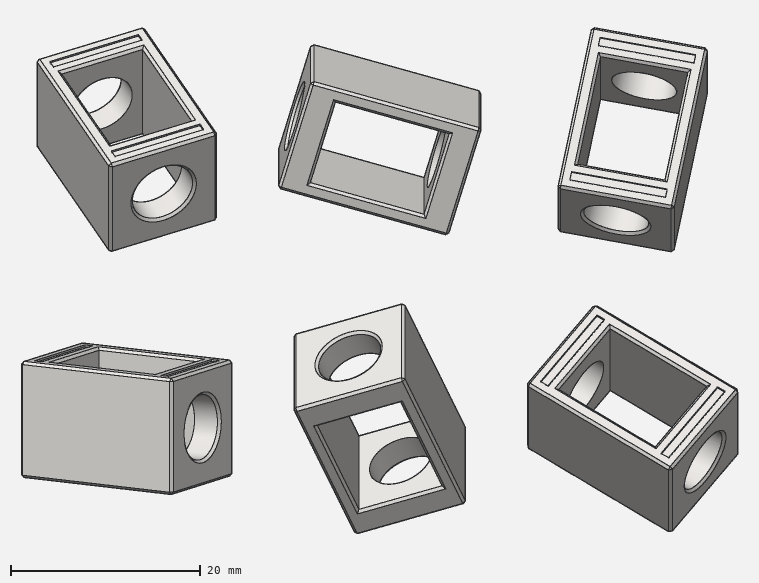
import cadquery as cq

length = 18.75
width = 12.5
height = width
edge_chamfer = 0.3

window_length = 12.5
window_width = 9.38

bore_diameter = 7.0

label_length = 0.95
label_width = 10.3
label_depth = 0.2
label_center_x = (length + window_length) / 4


def make_block():
    block = cq.Workplane("XY").box(length, width, height)
    return block.edges().chamfer(edge_chamfer)


def cut_window(body):
    """Cut the window from top to bottom and chamfer its rim at the top and bottom faces."""
    top = body.faces(">Z").workplane(origin=(0, 0, 0))
    body = top.rect(window_length, window_width).cutThruAll()
    for face in (">Z", "<Z"):
        rim = body.faces(face).wires(cq.selectors.LengthNthSelector(0))
        body = rim.chamfer(edge_chamfer)
    return body


def cut_bore(body):
    """Cut the hole along X and chamfer its rim at both end faces."""
    end = body.faces("<X").workplane(origin=(0, 0, 0))
    body = end.circle(bore_diameter / 2).cutThruAll()
    for face in ("<X", ">X"):
        body = body.faces(face).edges("%CIRCLE").chamfer(edge_chamfer)
    return body


def cut_labels(body):
    recesses = (
        cq.Workplane("XY", origin=(0, 0, height / 2 - label_depth))
        .pushPoints([(-label_center_x, 0), (label_center_x, 0)])
        .rect(label_length, label_width)
        .extrude(label_depth)
    )
    return body.cut(recesses)


result = cut_labels(cut_bore(cut_window(make_block())))